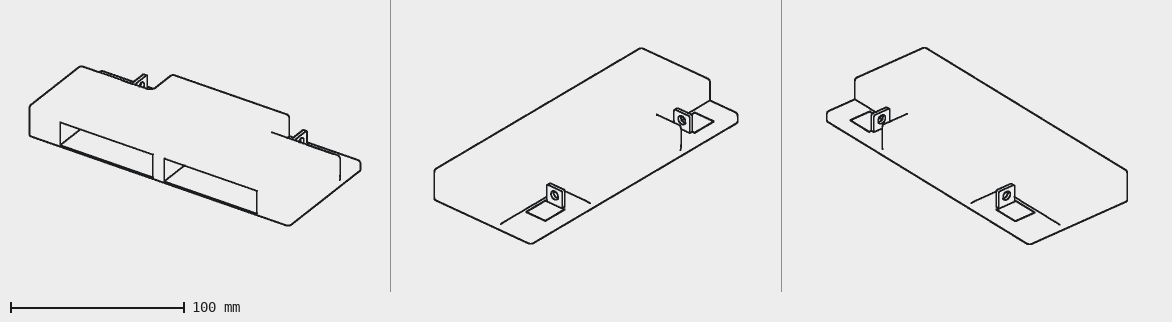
import cadquery as cq

LENGTH = 181.1
WIDTH = 75.95
HEIGHT = 21.08
EDGE_RADIUS = 2.54
BOTTOM_RADIUS = 1.02

SHELF_HEIGHT = 6.99
NOTCH_DEPTH = 21.3
CENTRE_BLOCK_WIDTH = 82.6

POCKET_LENGTH = 64.0
POCKET_HEIGHT = 15.4
POCKET_FLOOR = 1.6
POCKET_GAP = 8.0
POCKET_BACK_WALL = 5.0
POCKET_DEPTH = WIDTH - NOTCH_DEPTH - POCKET_BACK_WALL

TAB_THICKNESS = 2.2
TAB_WIDTH = 12.2
TAB_TOP = 18.3
TAB_EMBEDDED_DEPTH = 1.0
TAB_ROOT = SHELF_HEIGHT - TAB_EMBEDDED_DEPTH
TAB_CORNER_RADIUS = 1.27
TAB_INNER_X = 54.2
TAB_FROM_BACK = 12.2
TAB_HOLE_DIAMETER = 5.49
TAB_HOLE_HEIGHT = 13.2
PAD_LENGTH = 16.8
PAD_WIDTH = 14.8
PAD_FROM_BACK = 11.8
PAD_RECESS = 0.25

BACK_Y = WIDTH / 2
SIDES = (-1, 1)


def box(size_x, size_y, size_z, centre_x, centre_y, bottom_z):
    """Box centred at a point in X and Y, standing on bottom_z."""
    return (
        cq.Workplane("XY")
        .box(size_x, size_y, size_z, centered=(True, True, False))
        .translate((centre_x, centre_y, bottom_z))
    )


def make_shelf_slab():
    """Low slab over the whole footprint, rounded on its sides and top rim."""
    slab = box(LENGTH, WIDTH, SHELF_HEIGHT, 0, 0, 0)
    slab = slab.edges("|Z").fillet(EDGE_RADIUS)
    return slab.faces(">Z").edges().fillet(EDGE_RADIUS)


def make_main_body():
    """Full-height T-shaped body, rounded on its sides and top rim."""
    body = box(LENGTH, WIDTH - NOTCH_DEPTH, HEIGHT, 0, -NOTCH_DEPTH / 2, 0)
    body = body.union(box(CENTRE_BLOCK_WIDTH, WIDTH, HEIGHT, 0, 0, 0))
    body = body.edges("|Z").fillet(EDGE_RADIUS)
    return body.faces(">Z").edges().fillet(EDGE_RADIUS)


def make_housing():
    """Body and shelves joined, with the bottom rim rounded."""
    housing = make_main_body().union(make_shelf_slab())
    return housing.faces("<Z").edges().fillet(BOTTOM_RADIUS)


def make_pocket(side):
    """Space of one blind pocket, open on the front face."""
    return box(
        POCKET_LENGTH,
        POCKET_DEPTH,
        POCKET_HEIGHT,
        side * (POCKET_GAP + POCKET_LENGTH) / 2,
        -WIDTH / 2 + POCKET_DEPTH / 2,
        POCKET_FLOOR,
    )


def make_pad_recess(side):
    """Shallow rectangular recess on the outer side of one tab."""
    return box(
        PAD_LENGTH,
        PAD_WIDTH,
        PAD_RECESS,
        side * (TAB_INNER_X + TAB_THICKNESS + PAD_LENGTH / 2),
        BACK_Y - PAD_FROM_BACK,
        SHELF_HEIGHT - PAD_RECESS,
    )


def make_tab(side):
    """Upright tab with rounded top corners and a cross hole."""
    centre_x = side * (TAB_INNER_X + TAB_THICKNESS / 2)
    centre_y = BACK_Y - TAB_FROM_BACK
    tab = box(TAB_THICKNESS, TAB_WIDTH, TAB_TOP - TAB_ROOT, centre_x, centre_y, TAB_ROOT)
    tab = tab.faces(">Z").edges("|X").fillet(TAB_CORNER_RADIUS)
    hole = (
        cq.Workplane("YZ")
        .center(centre_y, TAB_HOLE_HEIGHT)
        .circle(TAB_HOLE_DIAMETER / 2)
        .extrude(TAB_THICKNESS, both=True)
        .translate((centre_x, 0, 0))
    )
    return tab.cut(hole)


result = make_housing()
for side in SIDES:
    result = result.cut(make_pocket(side))
    result = result.cut(make_pad_recess(side))
    result = result.union(make_tab(side))